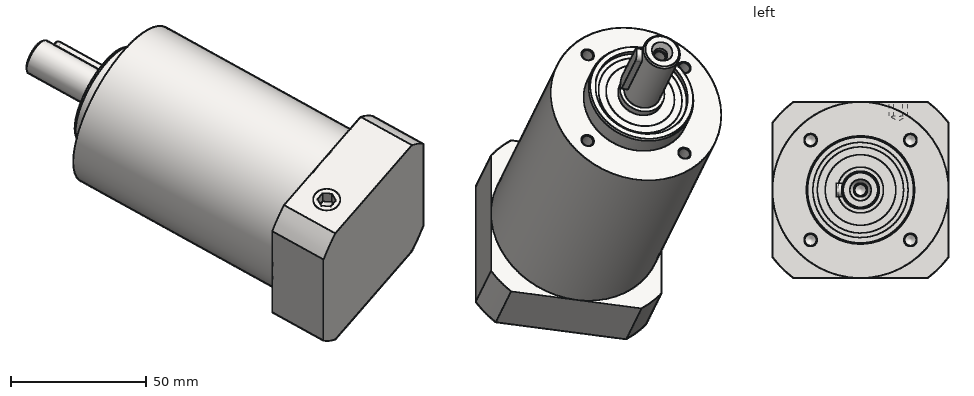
import cadquery as cq
import math


total_length = 151.5
shoulder_x = 29.8
collar_x = 30.8
body_x = 39.1
flange_x = 128.5

flange_side = 65.0
flange_length = total_length - flange_x
corner_radius = 40.9
body_radius = flange_side / 2

collar_radius = 20.0
collar_chamfer_length = 0.9
collar_chamfer_height = 0.5
recess_radius = 17.5
recess_depth = 2.0
seal_outer_radius = 15.9
seal_inner_radius = 13.0
seal_depth = 0.2

shaft_radius = 7.0
shaft_chamfer = 0.6
shoulder_radius = 8.5

key_start_x = 2.5
key_length = 25.0
key_width = 5.0
key_top_y = 9.0

drill_point_angle = 118.0
drill_point_slope = math.tan(math.radians(drill_point_angle / 2))

center_mouth_radius = 4.0
center_relief_radius = 2.5
center_core_radius = 2.1
center_relief_depth = 4.0
center_core_depth = 12.5
center_cone_angle = 60.0

mount_circle_radius = 26.0
mount_hole_count = 4
mount_mouth_radius = 2.4
mount_core_radius = 2.1
mount_hole_depth = 10.0

plug_x = flange_x + flange_length / 2
plug_y = -13.8
plug_radius = 5.0
plug_sink = 0.08
socket_across_flats = 5.9
socket_depth = 5.0
socket_radius = socket_across_flats / math.sqrt(3)


def turned(points):
    """Solid of revolution about the X axis from (x, radius) points."""
    profile = [(x, -radius) for x, radius in points]
    return cq.Workplane("XY").polyline(profile).close().revolve(360, (0, 0, 0), (1, 0, 0))


def make_turned_parts():
    """Shaft, shoulder, recessed collar and body as one revolved profile."""
    recess_floor_x = collar_x + recess_depth
    seal_x = recess_floor_x + seal_depth
    return turned([
        (0, 0),
        (0, shaft_radius - shaft_chamfer),
        (shaft_chamfer, shaft_radius),
        (shoulder_x, shaft_radius),
        (shoulder_x, shoulder_radius),
        (recess_floor_x, shoulder_radius),
        (recess_floor_x, seal_inner_radius),
        (seal_x, seal_inner_radius),
        (seal_x, seal_outer_radius),
        (recess_floor_x, seal_outer_radius),
        (recess_floor_x, recess_radius),
        (collar_x, recess_radius),
        (collar_x, collar_radius - collar_chamfer_height),
        (collar_x + collar_chamfer_length, collar_radius),
        (body_x, collar_radius),
        (body_x, body_radius),
        (flange_x, body_radius),
        (flange_x, 0),
    ])


def make_flange():
    """Square flange whose corners are turned to a common radius."""
    face = cq.Workplane("YZ").workplane(offset=flange_x)
    square = face.rect(flange_side, flange_side).extrude(flange_length)
    return square.intersect(face.circle(corner_radius).extrude(flange_length))


def make_key():
    """Round-ended key, from the shaft axis out to its top face."""
    return (
        cq.Workplane("XZ")
        .center(key_start_x + key_length / 2, 0)
        .slot2D(key_length, key_width)
        .extrude(-key_top_y)
    )


def make_center_hole():
    """Countersunk centre hole with a relief step and a drill point."""
    cone_slope = math.tan(math.radians(center_cone_angle / 2))
    mouth_depth = (center_mouth_radius - center_relief_radius) / cone_slope
    return turned([
        (0, 0),
        (0, center_mouth_radius),
        (mouth_depth, center_relief_radius),
        (center_relief_depth, center_relief_radius),
        (center_relief_depth, center_core_radius),
        (center_core_depth, center_core_radius),
        (center_core_depth + center_core_radius / drill_point_slope, 0),
    ])


def make_mount_holes():
    """Blind countersunk holes, equally spaced and starting at 45 degrees."""
    mouth_depth = mount_mouth_radius - mount_core_radius
    hole = turned([
        (0, 0),
        (0, mount_mouth_radius),
        (mouth_depth, mount_core_radius),
        (mount_hole_depth, mount_core_radius),
        (mount_hole_depth + mount_core_radius / drill_point_slope, 0),
    ]).translate((body_x, 0, mount_circle_radius))
    holes = cq.Workplane("XY")
    for index in range(mount_hole_count):
        angle = 45 + index * 360 / mount_hole_count
        holes = holes.add(hole.rotate((0, 0, 0), (1, 0, 0), angle))
    return holes.combine()


def make_plug_recess():
    """Shallow round sink with a hexagon socket that ends in a drill point."""
    point_depth = socket_radius / drill_point_slope
    top = cq.Workplane("XY", origin=(plug_x, plug_y, flange_side / 2))
    sink = top.circle(plug_radius).extrude(-plug_sink)
    hexagon = top.polygon(6, 2 * socket_radius).extrude(-(socket_depth + point_depth))
    hexagon = hexagon.rotate((plug_x, plug_y, 0), (plug_x, plug_y, 1), 90)
    drill = (
        cq.Workplane("XZ", origin=(plug_x, plug_y, flange_side / 2))
        .polyline([
            (0, 0),
            (socket_radius, 0),
            (socket_radius, -socket_depth),
            (0, -socket_depth - point_depth),
        ])
        .close()
        .revolve(360, (0, 0, 0), (0, 1, 0))
    )
    return sink.union(hexagon.intersect(drill))


result = (
    make_turned_parts()
    .union(make_flange())
    .union(make_key())
    .cut(make_center_hole())
    .cut(make_mount_holes())
    .cut(make_plug_recess())
)